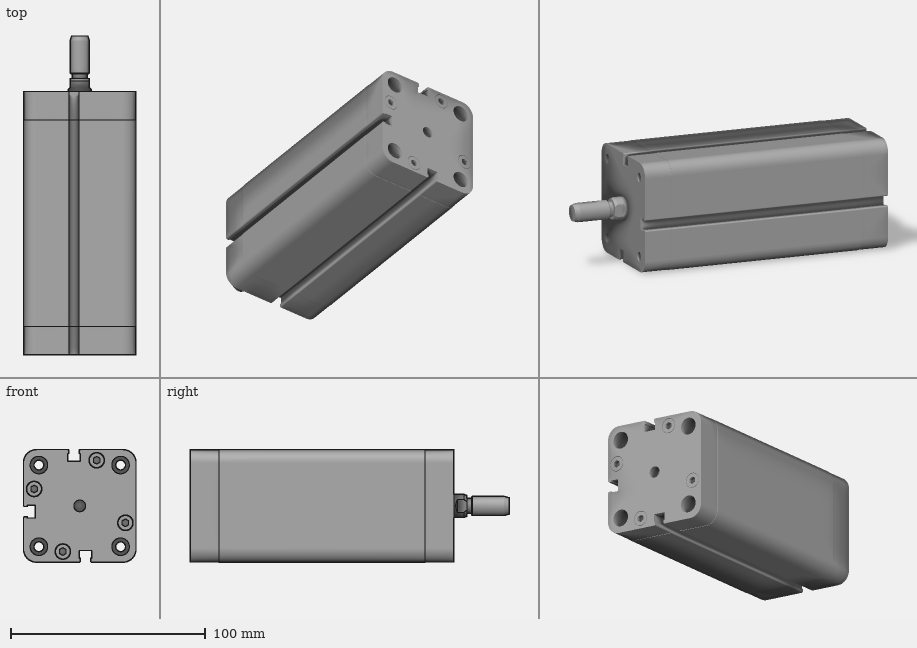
import cadquery as cq
import math


total_length = 164.0
body_width = 58.0
body_length = 135.5
cap_length = 14.8
corner_radius = 6.9
cap_inset = 0.2

slot_offset = 3.0
slot_depth = 6.0
slot_channel_width = 6.4
slot_mouth_width = 5.2
slot_lip_height = 2.0
slot_mouth_radius = 0.7
slot_angles = (0, 90, 180)

mount_spacing = 42.0
mount_hole_diameter = 5.0
mount_bore_diameter = 9.0
mount_bore_depth = cap_length

screw_x = 8.7
screw_z = 23.5
screw_circle_radius = math.hypot(screw_x, screw_z)
screw_direction = math.atan2(screw_z, screw_x)
screw_bore_diameter = 8.0
screw_head_diameter = 7.5
screw_gap_depth = 1.0
socket_across_flats = 3.5
socket_depth = 2.5

center_hole_diameter = 6.0
center_hole_depth = 6.5

collar_diameter = 12.0
collar_end_diameter = 10.8
collar_length = 6.7
collar_chamfer_length = 1.5
flat_spacing = 10.0
flat_length = 4.8
neck_diameter = 7.9
neck_length = 2.3
thread_diameter = 10.0
thread_relief_chamfer = 0.5
tip_diameter = 8.5
tip_length = 2.6


def block(width, corner_radius, y_start, length):
    """Square prism along Y with rounded long edges."""
    prism = cq.Workplane("XY").box(width, length, width).edges("|Y").fillet(corner_radius)
    return prism.translate((0, y_start + length / 2, 0))


def rod_along_y(diameter, y_start, length, x=0, z=0):
    """Cylinder along Y starting at y_start."""
    axis_start = cq.Vector(x, y_start, z)
    return cq.Workplane(cq.Solid.makeCylinder(diameter / 2, length, axis_start, cq.Vector(0, 1, 0)))


def turn(shape, angle):
    """Rotate about the cylinder axis; positive angles lead from the +Z side to the -X side."""
    return shape.rotate((0, 0, 0), (0, 1, 0), -angle)


def slot_cutter(side_distance, y_start, length):
    """Slot in the +Z side of a section whose flat side lies at side_distance from the axis."""
    floor_z = side_distance - slot_depth
    lip_z = side_distance - slot_lip_height
    half_channel = slot_channel_width / 2
    half_mouth = slot_mouth_width / 2
    half_opening = half_mouth + slot_mouth_radius
    rounding_z = side_distance - slot_mouth_radius
    midpoint_inset = slot_mouth_radius * math.sqrt(0.5)
    midpoint_x = half_opening - midpoint_inset
    midpoint_z = rounding_z + midpoint_inset
    outline = (
        cq.Workplane("XZ")
        .moveTo(half_opening, side_distance)
        .threePointArc((midpoint_x, midpoint_z), (half_mouth, rounding_z))
        .lineTo(half_mouth, lip_z)
        .lineTo(half_channel, lip_z)
        .lineTo(half_channel, floor_z)
        .lineTo(-half_channel, floor_z)
        .lineTo(-half_channel, lip_z)
        .lineTo(-half_mouth, lip_z)
        .lineTo(-half_mouth, rounding_z)
        .threePointArc((-midpoint_x, midpoint_z), (-half_opening, side_distance))
        .close()
    )
    return outline.extrude(-length).translate((-slot_offset, y_start, 0))


def body_section(inset, y_start, length):
    """Slotted square section, set in from the full outline by inset on every side."""
    width = body_width - 2 * inset
    section = block(width, corner_radius - inset, y_start, length)
    cutter = slot_cutter(width / 2, y_start, length)
    for angle in slot_angles:
        section = section.cut(turn(cutter, angle))
    return section


def make_body():
    tube = body_section(0, cap_length, body_length - 2 * cap_length)
    front_cap = body_section(cap_inset, 0, cap_length)
    rear_cap = body_section(cap_inset, body_length - cap_length, cap_length)
    return tube.union(front_cap).union(rear_cap)


def screw_gap():
    """Ring gap around a screw head."""
    bore = rod_along_y(screw_bore_diameter, 0, screw_gap_depth)
    head = rod_along_y(screw_head_diameter, 0, screw_gap_depth)
    return bore.cut(head)


def hexagon_socket():
    """Hexagonal recess with corners pointing along Z."""
    across_corners = socket_across_flats / math.cos(math.radians(30))
    hexagon = cq.Workplane("XZ").polygon(6, across_corners).extrude(-socket_depth)
    return hexagon.rotate((0, 0, 0), (0, 1, 0), 30)


def make_rod():
    """Turned rod end: collar, undercut neck, thread and tapered tip."""
    collar_end = body_length + collar_length
    thread_start = collar_end + neck_length
    tip_start = total_length - tip_length
    profile = [
        (0, body_length),
        (collar_diameter / 2, body_length),
        (collar_diameter / 2, collar_end - collar_chamfer_length),
        (collar_end_diameter / 2, collar_end),
        (neck_diameter / 2, collar_end),
        (neck_diameter / 2, thread_start),
        (thread_diameter / 2 - thread_relief_chamfer, thread_start),
        (thread_diameter / 2, thread_start + thread_relief_chamfer),
        (thread_diameter / 2, tip_start),
        (tip_diameter / 2, total_length),
        (0, total_length),
    ]
    return cq.Workplane("XY").polyline(profile).close().revolve(360, (0, 0, 0), (0, 1, 0))


def flat_cutter():
    """Wrench flat on the +X side of the collar, running out at 45 degrees."""
    collar_end = body_length + collar_length
    flat_start = collar_end - flat_length
    flat_x = flat_spacing / 2
    runout = collar_diameter / 2 - flat_x
    outline = [
        (flat_x, collar_end),
        (flat_x, flat_start),
        (flat_x + runout, flat_start - runout),
        (flat_x + runout, collar_end),
    ]
    return cq.Workplane("XY").polyline(outline).close().extrude(collar_diameter / 2, both=True)


result = make_body()

for x_side in (-1, 1):
    for z_side in (-1, 1):
        x = x_side * mount_spacing / 2
        z = z_side * mount_spacing / 2
        result = result.cut(rod_along_y(mount_hole_diameter, 0, body_length, x, z))
        result = result.cut(rod_along_y(mount_bore_diameter, 0, mount_bore_depth, x, z))

for quarter_turn in range(4):
    direction = screw_direction + quarter_turn * math.pi / 2
    x = screw_circle_radius * math.cos(direction)
    z = screw_circle_radius * math.sin(direction)
    result = result.cut(screw_gap().translate((x, 0, z)))
    result = result.cut(hexagon_socket().translate((x, 0, z)))

result = result.cut(rod_along_y(center_hole_diameter, 0, center_hole_depth))

wrench_flat = flat_cutter()
rod = make_rod().cut(wrench_flat).cut(wrench_flat.mirror("YZ"))
result = result.union(rod)